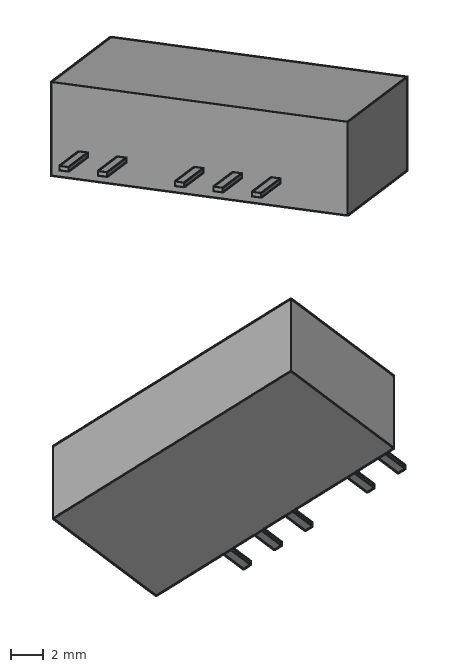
import cadquery as cq

body_length = 19.5
body_depth = 9.3
body_height = 6.0

pin_width = 0.6
pin_thickness = 0.3
pin_length = 3.0
pin_pitch = 2.54
first_pin_x = 2.1
pin_center_z = 1.65
pin_positions = (0, 1, 3, 4, 5)


def make_body():
    return cq.Workplane("XY").box(body_length, body_depth, body_height, centered=False)


def make_pin(position):
    """One pin reaching forward from the front face."""
    center_x = first_pin_x + position * pin_pitch
    return (
        cq.Workplane("XZ")
        .center(center_x, pin_center_z)
        .rect(pin_width, pin_thickness)
        .extrude(pin_length)
    )


result = make_body()
for position in pin_positions:
    result = result.union(make_pin(position))